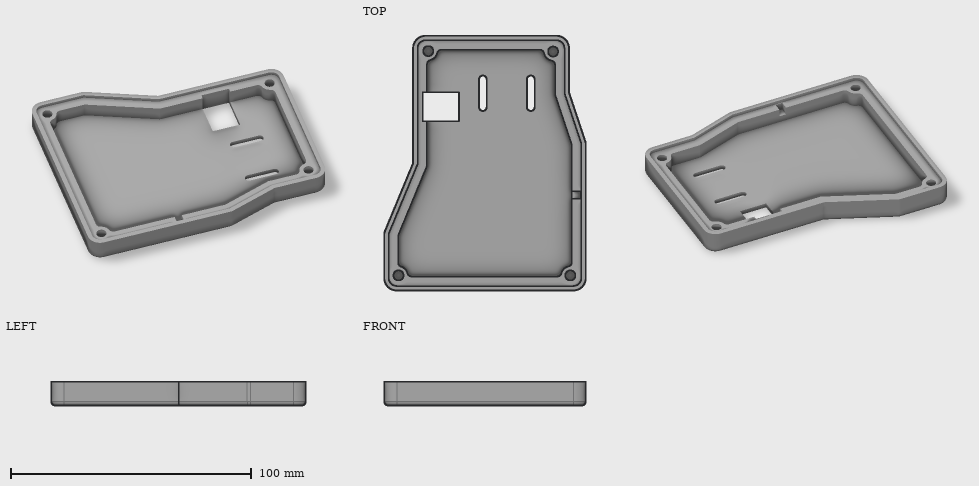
import cadquery as cq

LENGTH_X = 83.8
LENGTH_Y = 105.8
HEIGHT = 10.0
FLOOR = 2.0
CORNER_RADIUS = 5.3
KINK_RADIUS = 3.4
BOTTOM_FILLET = 1.9

UPPER_LEFT_X = 12.0
UPPER_RIGHT_X = 76.8
LEFT_KINK_LOW_Y = 23.85
LEFT_KINK_HIGH_Y = 52.8
RIGHT_KINK_LOW_Y = 61.2
RIGHT_KINK_HIGH_Y = 82.2

RIM_WIDTH = 1.9
RECESS_DEPTH = 1.5
LEDGE_WIDTH = 3.9
LEDGE_Z = HEIGHT - RECESS_DEPTH
CAVITY_INSET = RIM_WIDTH + LEDGE_WIDTH

SCREW_DIAMETER = 4.2
BOSS_RADIUS = 3.8
BOSS_BLEND_RADIUS = 2.0
SCREW_CENTERS = [(6.0, 6.3), (77.3, 6.3), (70.15, 99.2), (18.35, 99.4)]

SLOT_WIDTH = 3.1
SLOT_LENGTH = 14.6
SLOT_CENTER_Y = 81.9
SLOT_CENTERS_X = [41.0, 60.9]
WINDOW_X = 15.0
WINDOW_Y = 12.0
WINDOW_CENTER = (23.6, 76.3)

NOTCH_WIDTH = 3.1
NOTCH_CENTER_Y = 39.65
NOTCH_END_X = LENGTH_X - 2.2
NOTCH_DEPTH = 3.5


def round_vertical_edges(solid, places, radius):
    """Fillet the vertical edges that stand at the given XY places."""
    for x, y in places:
        edge = solid.edges("|Z").edges(cq.selectors.NearestToPointSelector((x, y, HEIGHT / 2)))
        solid = edge.fillet(radius)
    return solid


def outline_wire():
    """Outer outline with its four corners and two convex kinks rounded."""
    corners = [(0, 0), (LENGTH_X, 0), (UPPER_RIGHT_X, LENGTH_Y), (UPPER_LEFT_X, LENGTH_Y)]
    right_kink = (LENGTH_X, RIGHT_KINK_LOW_Y)
    left_kink = (0, LEFT_KINK_LOW_Y)
    points = [
        *corners[:2],
        right_kink,
        (UPPER_RIGHT_X, RIGHT_KINK_HIGH_Y),
        *corners[2:],
        (UPPER_LEFT_X, LEFT_KINK_HIGH_Y),
        left_kink,
    ]
    prism = cq.Workplane("XY").polyline(points).close().extrude(HEIGHT)
    prism = round_vertical_edges(prism, corners, CORNER_RADIUS)
    prism = round_vertical_edges(prism, [right_kink, left_kink], KINK_RADIUS)
    return prism.faces("<Z").wires().val()


def prism_from_wire(wire, bottom, top):
    """Upright prism on a closed wire, between two heights."""
    prism = cq.Workplane("XY").add(wire).toPending().extrude(top - bottom)
    return prism.translate((0, 0, bottom))


def inset_prism(wire, inset, bottom, top):
    """Prism of the wire shrunk by the inset, with sharp corners where lines meet."""
    shrunk = cq.Workplane("XY").add(wire).toPending().offset2D(-inset, "intersection")
    return prism_from_wire(shrunk.wires().val(), bottom, top)


def make_cavity(wire):
    """Inner cavity with screw bosses left standing in its four corners."""
    cavity = inset_prism(wire, CAVITY_INSET, FLOOR, HEIGHT)
    bosses = cq.Workplane("XY").pushPoints(SCREW_CENTERS).circle(BOSS_RADIUS).extrude(HEIGHT)
    cavity = cavity.cut(bosses)
    return cavity.faces("%CYLINDER").edges("|Z").fillet(BOSS_BLEND_RADIUS)


def make_floor_openings():
    """Two long slots and a rectangular window."""
    slots = (
        cq.Workplane("XY")
        .pushPoints([(x, SLOT_CENTER_Y) for x in SLOT_CENTERS_X])
        .slot2D(SLOT_LENGTH, SLOT_WIDTH, 90)
        .extrude(HEIGHT)
    )
    window = cq.Workplane("XY").center(*WINDOW_CENTER).rect(WINDOW_X, WINDOW_Y).extrude(HEIGHT)
    return slots.union(window)


def make_notch():
    """Rectangular notch cut down from the ledge top, open to the cavity."""
    start_x = LENGTH_X - CAVITY_INSET
    length = NOTCH_END_X - start_x
    notch = cq.Workplane("XY").box(length, NOTCH_WIDTH, NOTCH_DEPTH, centered=(False, True, False))
    return notch.translate((start_x, NOTCH_CENTER_Y, LEDGE_Z - NOTCH_DEPTH))


def make_screw_holes():
    """Blind holes running from the ledge down to the floor."""
    holes = cq.Workplane("XY").pushPoints(SCREW_CENTERS).circle(SCREW_DIAMETER / 2).extrude(HEIGHT - FLOOR)
    return holes.translate((0, 0, FLOOR))


outer_wire = outline_wire()
result = prism_from_wire(outer_wire, 0, HEIGHT).faces("<Z").edges().fillet(BOTTOM_FILLET)
result = result.cut(inset_prism(outer_wire, RIM_WIDTH, LEDGE_Z, HEIGHT))
result = result.cut(make_cavity(outer_wire))
result = result.cut(make_floor_openings())
result = result.cut(make_notch())
result = result.cut(make_screw_holes())